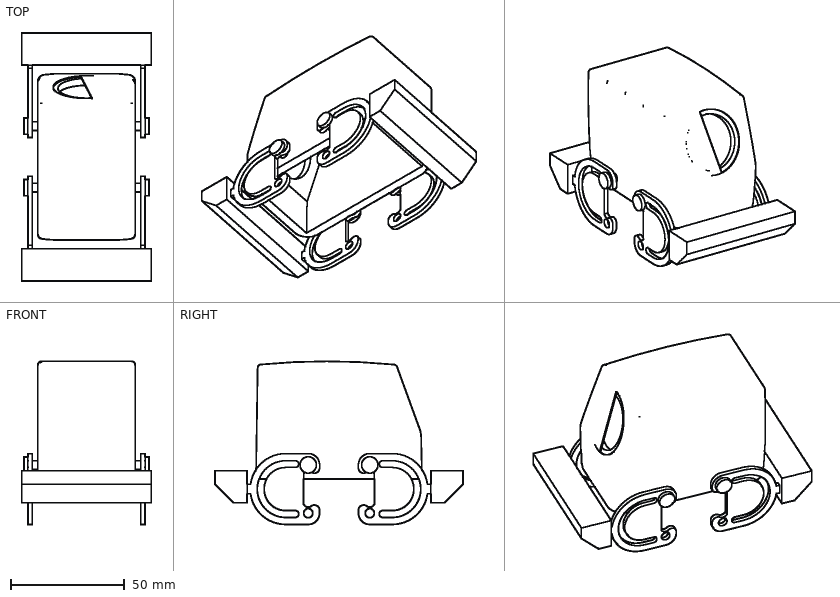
import cadquery as cq
import math

HOOD_WIDTH = 42.8
FRONT_BOTTOM_Y = -36.5
FRONT_TOP_Y = -35.8
BACK_BOTTOM_Y = 36.5
BACK_BREAK_Y = 36.1
BACK_TOP_Y = 25.2
BREAK_Z = 20.3
EDGE_TOP_Z = 50.2
CROWN_TOP_Z = 51.8
TOP_FILLET = 1.7
BEND_HALF_HEIGHT = 1.5
WALL = 3.8
OVERCUT = 5.5

CORNER_TOP_RADIUS = 1.6
CORNER_FLARE = 5.7
LOFT_SECTIONS = 6

ENTRY_RADIUS = 12.5
SEAT_RADIUS = 14.6
SEAT_DEPTH = 0.5
LID_TILT = 10.0

LEVER_THICKNESS = 2.0
LEVER_INNER_X = 23.8
LEVER_MID_Z = -4.4
BOW_RADIUS = 15.6
BOW_CENTRE_Y = 23.4
SLOT_OUTER_RADIUS = 12.4
SLOT_INNER_RADIUS = 9.5
SLOT_END_Y = 19.2
LUG_RADIUS = 5.0
LUG_Y = 13.5
TIP_RADIUS = 2.3
TIP_RISE = 1.3
WEB_EDGE_Y = 15.5

PIN_RADIUS = 2.0
PIN_EMBED = 1.6
HEAD_RADIUS = 3.6
HEAD_OUTER_X = 27.5

HANDLE_WIDTH = 57.0
HANDLE_OUTER_Y = 54.5
HANDLE_SIZE = 14.2
HANDLE_TOP_Z = 3.7
HANDLE_CHAMFER = 8.2
TAB_HEIGHT = 4.3

LUG_OFFSET_Z = BOW_RADIUS - LUG_RADIUS
HANDLE_INNER_Y = HANDLE_OUTER_Y - HANDLE_SIZE
BEND_BOTTOM_Z = BREAK_Z - BEND_HALF_HEIGHT
BEND_TOP_Z = BREAK_Z + BEND_HALF_HEIGHT
LOFT_TOP_Z = CROWN_TOP_Z + OVERCUT
CROWN_Y = (FRONT_TOP_Y + BACK_TOP_Y) / 2
SLOPE_RUN = BACK_BREAK_Y - BACK_TOP_Y
SLOPE_RISE = EDGE_TOP_Z - BREAK_Z


def blend(start, end, fraction):
    return start + (end - start) * fraction


def front_y(z):
    return blend(FRONT_BOTTOM_Y, FRONT_TOP_Y, z / EDGE_TOP_Z)


def base_back_y(z):
    return blend(BACK_BOTTOM_Y, BACK_BREAK_Y, z / BREAK_Z)


def slope_back_y(z):
    return blend(BACK_BREAK_Y, BACK_TOP_Y, (z - BREAK_Z) / SLOPE_RISE)


def bend_back_y(z):
    """Parabola tangent to the base and to the slope, rounding the break between them."""
    base_lean = (BACK_BREAK_Y - BACK_BOTTOM_Y) / BREAK_Z
    slope_lean = -SLOPE_RUN / SLOPE_RISE
    height = z - BEND_BOTTOM_Z
    return base_back_y(z) + (slope_lean - base_lean) * height**2 / (4 * BEND_HALF_HEIGHT)


def wall_loft(wall_y, bottom_z, top_z):
    """Part of the hood from the middle plane out to the end wall at wall_y(z)."""
    sections = []
    for i in range(LOFT_SECTIONS):
        z = blend(bottom_z, top_z, i / (LOFT_SECTIONS - 1))
        radius = CORNER_TOP_RADIUS + CORNER_FLARE * max(0, 1 - z / CROWN_TOP_Z) ** 3
        outer = wall_y(z)
        section = cq.Sketch().rect(HOOD_WIDTH, abs(outer))
        section = section.vertices(">Y" if outer > 0 else "<Y").fillet(radius)
        sections.append(section.moved(cq.Location(cq.Vector(0, outer / 2, z))))
    return cq.Workplane().placeSketch(*sections).loft()


def make_cavity():
    """Inside of the hood: its side outline, carried below the rim, moved in by the wall."""
    outline = (
        cq.Workplane("YZ")
        .moveTo(FRONT_BOTTOM_Y, -WALL)
        .lineTo(FRONT_TOP_Y, EDGE_TOP_Z)
        .threePointArc((CROWN_Y, CROWN_TOP_Z), (BACK_TOP_Y, EDGE_TOP_Z))
        .lineTo(BACK_BREAK_Y, BREAK_Z)
        .lineTo(BACK_BOTTOM_Y, -WALL)
        .close()
    )
    return outline.offset2D(-WALL).extrude(HOOD_WIDTH / 2 - WALL, both=True)


def arched_cap():
    """Solid below the arched top, wider than the hood on all other sides."""
    sagitta = CROWN_TOP_Z - EDGE_TOP_Z
    half_chord = (BACK_TOP_Y - FRONT_TOP_Y) / 2
    radius = (half_chord**2 + sagitta**2) / (2 * sagitta)
    return (
        cq.Workplane("YZ")
        .center(CROWN_Y, CROWN_TOP_Z - radius)
        .circle(radius)
        .extrude(HOOD_WIDTH, both=True)
    )


def make_hood():
    front = wall_loft(front_y, 0, LOFT_TOP_Z)
    base = wall_loft(base_back_y, 0, BEND_BOTTOM_Z)
    bend = wall_loft(bend_back_y, BEND_BOTTOM_Z, BEND_TOP_Z)
    slope = wall_loft(slope_back_y, BEND_TOP_Z, LOFT_TOP_Z)
    hood = base.union(bend).union(slope).union(front).intersect(arched_cap())
    hood = hood.faces(">Z").edges().fillet(TOP_FILLET)
    return hood.cut(make_cavity())


def entry_plane():
    """Plane on the sloping wall, centred on the entry, normal pointing outwards."""
    centre = (0, (BACK_BREAK_Y + BACK_TOP_Y) / 2, (BREAK_Z + EDGE_TOP_Z) / 2)
    return cq.Plane(origin=centre, xDir=(1, 0, 0), normal=(0, SLOPE_RISE, SLOPE_RUN))


def cut_entry(hood):
    plane = entry_plane()
    bore = cq.Workplane(plane).circle(ENTRY_RADIUS).extrude(-WALL - OVERCUT)
    seat = cq.Workplane(plane).circle(SEAT_RADIUS).extrude(-SEAT_DEPTH)
    tilted = cq.Workplane(plane).transformed(rotate=(0, 0, LID_TILT))
    lid = (
        tilted.moveTo(0, -SEAT_RADIUS)
        .threePointArc((SEAT_RADIUS, 0), (0, SEAT_RADIUS))
        .close()
        .extrude(-SEAT_DEPTH)
    )
    return hood.cut(bore).cut(seat).union(lid, clean=False)


def lever_half():
    """Upper half of the lever plate, with the middle line at Z = 0."""
    diagonal = math.sqrt(0.5)
    tip_y = LUG_Y - LUG_RADIUS + TIP_RADIUS
    tip_z = LUG_OFFSET_Z - TIP_RISE
    notch_z = tip_z - math.sqrt((2 * TIP_RADIUS) ** 2 - (LUG_Y - tip_y) ** 2)
    web_z = notch_z + math.sqrt(TIP_RADIUS**2 - (WEB_EDGE_Y - LUG_Y) ** 2)
    return (
        cq.Workplane("YZ")
        .moveTo(WEB_EDGE_Y, 0)
        .lineTo(WEB_EDGE_Y, web_z)
        .threePointArc((LUG_Y, notch_z + TIP_RADIUS), ((LUG_Y + tip_y) / 2, (notch_z + tip_z) / 2))
        .threePointArc(
            (tip_y - TIP_RADIUS * diagonal, tip_z - TIP_RADIUS * diagonal),
            (tip_y - TIP_RADIUS, tip_z),
        )
        .lineTo(LUG_Y - LUG_RADIUS, LUG_OFFSET_Z)
        .threePointArc(
            (LUG_Y - LUG_RADIUS * diagonal, LUG_OFFSET_Z + LUG_RADIUS * diagonal),
            (LUG_Y, BOW_RADIUS),
        )
        .lineTo(BOW_CENTRE_Y, BOW_RADIUS)
        .threePointArc(
            (BOW_CENTRE_Y + BOW_RADIUS * diagonal, BOW_RADIUS * diagonal),
            (BOW_CENTRE_Y + BOW_RADIUS, 0),
        )
        .close()
        .extrude(LEVER_THICKNESS)
    )


def lever_slot():
    """U-shaped slot that follows the bow."""
    mid_radius = (SLOT_OUTER_RADIUS + SLOT_INNER_RADIUS) / 2
    cap_y = SLOT_END_Y - (SLOT_OUTER_RADIUS - SLOT_INNER_RADIUS) / 2
    return (
        cq.Workplane("YZ")
        .moveTo(SLOT_END_Y, SLOT_OUTER_RADIUS)
        .lineTo(BOW_CENTRE_Y, SLOT_OUTER_RADIUS)
        .threePointArc((BOW_CENTRE_Y + SLOT_OUTER_RADIUS, 0), (BOW_CENTRE_Y, -SLOT_OUTER_RADIUS))
        .lineTo(SLOT_END_Y, -SLOT_OUTER_RADIUS)
        .threePointArc((cap_y, -mid_radius), (SLOT_END_Y, -SLOT_INNER_RADIUS))
        .lineTo(BOW_CENTRE_Y, -SLOT_INNER_RADIUS)
        .threePointArc((BOW_CENTRE_Y + SLOT_INNER_RADIUS, 0), (BOW_CENTRE_Y, SLOT_INNER_RADIUS))
        .lineTo(SLOT_END_Y, SLOT_INNER_RADIUS)
        .threePointArc((cap_y, mid_radius), (SLOT_END_Y, SLOT_OUTER_RADIUS))
        .close()
        .extrude(LEVER_THICKNESS)
    )


def pin_cylinder(radius, start_x, end_x):
    return (
        cq.Workplane("YZ", origin=(start_x, LUG_Y, LUG_OFFSET_Z))
        .circle(radius)
        .extrude(end_x - start_x)
    )


def make_lever():
    """Lever plate on the +X, +Y side with its pivot pin and handle tab."""
    half = lever_half()
    plate = half.union(half.mirror("XY")).cut(lever_slot())
    empty_hole = (
        cq.Workplane("YZ").center(LUG_Y, -LUG_OFFSET_Z).circle(PIN_RADIUS).extrude(LEVER_THICKNESS)
    )
    tab_start_y = BOW_CENTRE_Y + (SLOT_OUTER_RADIUS + BOW_RADIUS) / 2
    tab = (
        cq.Workplane("YZ")
        .center((tab_start_y + HANDLE_INNER_Y) / 2, 0)
        .rect(HANDLE_INNER_Y - tab_start_y, TAB_HEIGHT)
        .extrude(LEVER_THICKNESS)
    )
    lever = plate.cut(empty_hole).union(tab).translate((LEVER_INNER_X, 0, 0))
    pin = pin_cylinder(PIN_RADIUS, HOOD_WIDTH / 2 - PIN_EMBED, HEAD_OUTER_X)
    head = pin_cylinder(HEAD_RADIUS, LEVER_INNER_X + LEVER_THICKNESS, HEAD_OUTER_X)
    return lever.union(pin).union(head).translate((0, 0, LEVER_MID_Z))


def make_handle():
    return (
        cq.Workplane("XY")
        .box(HANDLE_WIDTH, HANDLE_SIZE, HANDLE_SIZE, centered=(True, False, False))
        .translate((0, HANDLE_INNER_Y, HANDLE_TOP_Z - HANDLE_SIZE))
        .edges("|X and >Y and <Z")
        .chamfer(HANDLE_CHAMFER)
    )


def make_latch():
    """Both levers and the handle on the +Y side."""
    lever = make_lever()
    return make_handle().union(lever).union(lever.mirror("YZ"))


latch = make_latch()
result = cut_entry(make_hood()).union(latch, clean=False).union(latch.mirror("XZ"), clean=False)